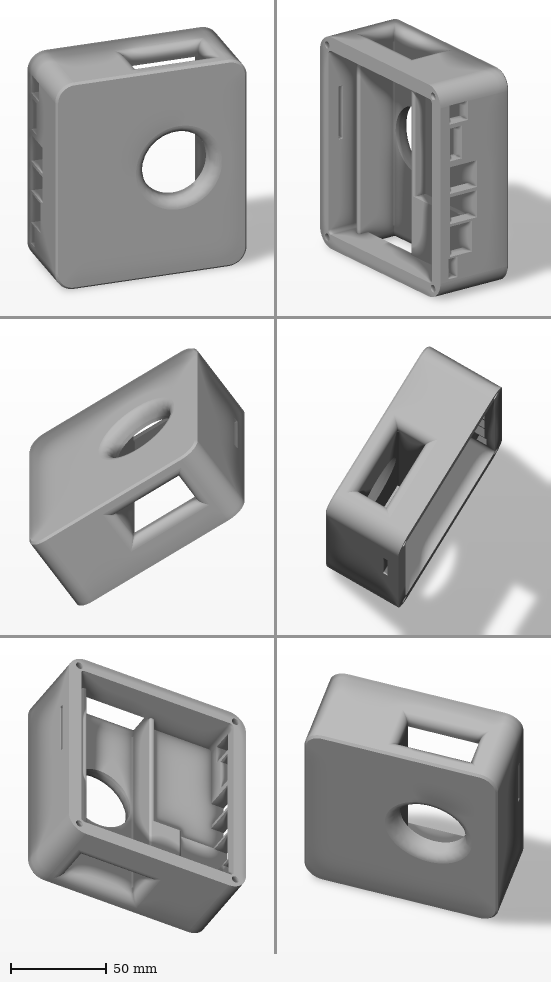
import cadquery as cq

DEPTH = 45.0
WIDTH = 106.5
HEIGHT = 119.0
CORNER_RADIUS = 10.2
BACK_EDGE_CHAMFER = 1.2

SIDE_WALL = 7.5
END_WALL = 7.9
CAVITY_CORNER_RADIUS = 2.0
CAVITY_DEPTH = 35.0

DUCT_Y_MIN = -4.8
DUCT_Y_MAX = 35.2
DUCT_CENTER_Y = (DUCT_Y_MIN + DUCT_Y_MAX) / 2
COVE_RADIUS = 1.0
RIB_TIP_RADIUS = 1.2
RIB_THICKNESS = 3.0
DIVIDER_TIP_X = 12.3
SUPPORT_TIP_X = 16.4

UPPER_DECK_X = 23.9
LOWER_DECK_X = 20.6
LOWER_BLOCK_WIDTH = 18.7
LOWER_BLOCK_TOP_Z = 41.3

WINDOW_X_MIN = 18.1
WINDOW_FLARE = 4.9
FAN_DIAMETER = 37.0
FAN_FLARE_DEPTH = 8.0
FAN_FLARE_WIDTH = 5.5
FAN_CENTER_Z = 61.5

SCREW_DIAMETER = 4.0
SCREW_DEPTH = 10.0
SCREW_INSET_Y = 6.4
SCREW_INSET_Z = 5.5

CONNECTOR_OPENINGS = [
    (5.8, 18.1, 98.3, 109.0),
    (6.2, 14.0, 77.6, 95.9),
    (6.2, 23.9, 59.3, 74.3),
    (6.2, 23.9, 42.2, 57.4),
    (6.2, 20.6, 23.8, 40.8),
    (5.2, 11.2, 11.5, 22.8),
]

CARD_SLOT_X = (6.7, 9.4)
CARD_SLOT_Z = (59.1, 89.1)
CARD_SLOT_CORNER_RADIUS = 0.5

HALF_WIDTH = WIDTH / 2
CAVITY_HALF_WIDTH = HALF_WIDTH - SIDE_WALL
CAVITY_Z_MIN = END_WALL
CAVITY_Z_MAX = HEIGHT - END_WALL


def block(x_min, x_max, y_min, y_max, z_min, z_max):
    """Axis-aligned box given by its limits."""
    size = (x_max - x_min, y_max - y_min, z_max - z_min)
    return cq.Workplane("XY").box(*size, centered=False).translate((x_min, y_min, z_min))


def make_shell():
    """Rounded box with a chamfered back edge."""
    shell = block(0, DEPTH, -HALF_WIDTH, HALF_WIDTH, 0, HEIGHT)
    shell = shell.edges("|X").fillet(CORNER_RADIUS)
    return shell.faces(">X").edges().chamfer(BACK_EDGE_CHAMFER)


def make_cavity():
    cavity = block(0, CAVITY_DEPTH, -CAVITY_HALF_WIDTH, CAVITY_HALF_WIDTH, CAVITY_Z_MIN, CAVITY_Z_MAX)
    return cavity.edges("|X").fillet(CAVITY_CORNER_RADIUS)


def rounded_rib(tip_x, y_min, y_max, z_max=CAVITY_Z_MAX):
    """Rib standing on the cavity floor, with both edges of its tip rounded."""
    rib = block(tip_x, CAVITY_DEPTH, y_min, y_max, CAVITY_Z_MIN, z_max)
    return rib.faces("<X").edges("|Z").fillet(RIB_TIP_RADIUS)


def duct_floor_cove(wall_y, center_y):
    """Concave fillet between the duct floor and a duct side wall."""
    center_x = CAVITY_DEPTH - COVE_RADIUS
    y_min, y_max = sorted((wall_y, center_y))
    cove = block(center_x, CAVITY_DEPTH, y_min, y_max, CAVITY_Z_MIN, CAVITY_Z_MAX)
    hollow = (
        cq.Workplane("XY", origin=(center_x, center_y, CAVITY_Z_MIN))
        .circle(COVE_RADIUS)
        .extrude(CAVITY_Z_MAX - CAVITY_Z_MIN)
    )
    return cove.cut(hollow)


def make_interior():
    """Divider rib, support rib, lower block and the two decks behind them."""
    upper_rib_y_min = DUCT_Y_MIN - RIB_THICKNESS
    lower_block_y_min = DUCT_Y_MIN - LOWER_BLOCK_WIDTH
    interior = rounded_rib(DIVIDER_TIP_X, DUCT_Y_MAX, DUCT_Y_MAX + RIB_THICKNESS)
    parts = [
        rounded_rib(SUPPORT_TIP_X, upper_rib_y_min, DUCT_Y_MIN),
        rounded_rib(SUPPORT_TIP_X, lower_block_y_min, DUCT_Y_MIN, LOWER_BLOCK_TOP_Z),
        block(UPPER_DECK_X, CAVITY_DEPTH, -CAVITY_HALF_WIDTH, DUCT_Y_MIN, CAVITY_Z_MIN, CAVITY_Z_MAX),
        block(LOWER_DECK_X, CAVITY_DEPTH, -CAVITY_HALF_WIDTH, DUCT_Y_MIN, CAVITY_Z_MIN, LOWER_BLOCK_TOP_Z),
        duct_floor_cove(DUCT_Y_MAX, DUCT_Y_MAX - COVE_RADIUS),
        duct_floor_cove(DUCT_Y_MIN, DUCT_Y_MIN + COVE_RADIUS),
    ]
    for part in parts:
        interior = interior.union(part)
    return interior


def cut_duct_windows(body):
    """Flared rectangular openings through the top and bottom walls."""
    for z_min, outer_face in ((0, "<Z"), (CAVITY_Z_MAX, ">Z")):
        body = body.cut(block(WINDOW_X_MIN, CAVITY_DEPTH, DUCT_Y_MIN, DUCT_Y_MAX, z_min, z_min + END_WALL))
        body = body.faces(outer_face).wires(cq.selectors.LengthNthSelector(0)).edges().fillet(WINDOW_FLARE)
    return body


def cut_fan_hole(body):
    """Round opening through the back wall, flared towards the outside."""
    wall = DEPTH - CAVITY_DEPTH
    radius = FAN_DIAMETER / 2
    straight = wall - FAN_FLARE_DEPTH
    flare = (
        cq.Workplane("XY")
        .lineTo(0, radius)
        .lineTo(straight, radius)
        .ellipseArc(FAN_FLARE_DEPTH, FAN_FLARE_WIDTH, 270, 360, startAtCurrent=True)
        .lineTo(wall, 0)
        .close()
        .revolve(360, (0, 0), (1, 0))
        .translate((CAVITY_DEPTH, DUCT_CENTER_Y, FAN_CENTER_Z))
    )
    return body.cut(flare)


def cut_side_openings(body):
    """Connector openings in the -Y wall and the card slot in the +Y wall."""
    for x_min, x_max, z_min, z_max in CONNECTOR_OPENINGS:
        body = body.cut(block(x_min, x_max, -HALF_WIDTH, -CAVITY_HALF_WIDTH, z_min, z_max))
    slot = block(*CARD_SLOT_X, CAVITY_HALF_WIDTH, HALF_WIDTH, *CARD_SLOT_Z)
    return body.cut(slot.edges("|Y").fillet(CARD_SLOT_CORNER_RADIUS))


def cut_screw_holes(body):
    """Blind holes in the four corners of the open rim."""
    for y in (-HALF_WIDTH + SCREW_INSET_Y, HALF_WIDTH - SCREW_INSET_Y):
        for z in (SCREW_INSET_Z, HEIGHT - SCREW_INSET_Z):
            hole = cq.Workplane("YZ", origin=(0, y, z)).circle(SCREW_DIAMETER / 2).extrude(SCREW_DEPTH)
            body = body.cut(hole)
    return body


cavity = make_cavity()
body = make_shell().cut(cavity.cut(make_interior()))
body = cut_duct_windows(body)
body = cut_fan_hole(body)
body = cut_side_openings(body)
result = cut_screw_holes(body)